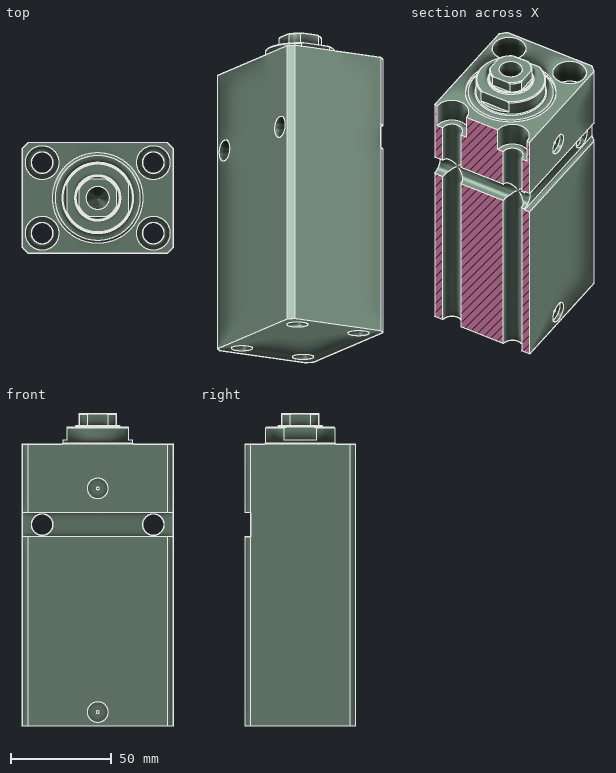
import cadquery as cq
import math

width = 75.0
depth = 55.0
height = 139.9
edge_chamfer = 3.0
front_y = -depth / 2

bolt_dia = 10.5
bolt_head_dia = 16.7
bolt_head_depth = 13.0
bolt_x = 27.5
bolt_y = 17.5

slot_height = 12.0
slot_depth = 3.0
slot_z = height - 40.0

port_dia = 10.2
port_depth = 2.0
oil_hole_dia = 1.4
oil_hole_depth = 7.7
upper_port_z = height - 22.0
lower_port_z = 7.0

plug_dia = 44.9
plug_length = 15.5
plug_chamfer = 1.4
plug_bottom_z = height - plug_length
collar_dia = 34.5
collar_top_z = height + 8.4
collar_chamfer = 0.5
collar_root_chamfer = 0.5
collar_flats = 30.5
collar_flat_z = height + 2.0
wiper_lip = 0.5

rod_top_z = 154.9
rod_bottom_z = 15.5
shaft_dia = 22.0
shoulder_z = collar_top_z + 1.0
shoulder_chamfer = 0.3
nose_dia = 21.2
nose_chamfer = 0.5
nose_flats = 18.6
rod_hole_dia = 11.5
rod_hole_depth = 18.6
drill_tip_angle = 118.0


def cylinder(diameter, bottom_z, top_z):
    """Round bar on the Z axis between two heights."""
    return cq.Workplane("XY", origin=(0, 0, bottom_z)).circle(diameter / 2).extrude(top_z - bottom_z)


def cone(bottom_dia, top_dia, bottom_z, top_z):
    """Round taper on the Z axis between two heights."""
    solid = cq.Solid.makeCone(bottom_dia / 2, top_dia / 2, top_z - bottom_z, cq.Vector(0, 0, bottom_z))
    return cq.Workplane(solid)


def slab(x_size, y_size, bottom_z, top_z):
    """Rectangular block on the Z axis between two heights."""
    return cq.Workplane("XY", origin=(0, 0, bottom_z)).rect(x_size, y_size).extrude(top_z - bottom_z)


def front_hole(diameter, x, z, hole_depth):
    """Tool for a round hole that enters the front face and runs along +Y."""
    return cq.Workplane("XZ", origin=(x, front_y, z)).circle(diameter / 2).extrude(-hole_depth)


def make_housing():
    """Block with bolt holes, key slot, ports, gland seat and rod bore."""
    housing = slab(width, depth, 0, height).edges("|Z").chamfer(edge_chamfer)

    bolt_points = [(x, y) for x in (-bolt_x, bolt_x) for y in (-bolt_y, bolt_y)]
    bolt_centres = cq.Workplane("XY", origin=(0, 0, height)).pushPoints(bolt_points)
    housing = housing.cut(bolt_centres.circle(bolt_dia / 2).extrude(-height))
    housing = housing.cut(bolt_centres.circle(bolt_head_dia / 2).extrude(-bolt_head_depth))

    slot = cq.Workplane("XY", origin=(0, front_y, slot_z)).box(width, 2 * slot_depth, slot_height)
    housing = housing.cut(slot)
    for x in (-bolt_x, bolt_x):
        housing = housing.cut(front_hole(bolt_dia, x, slot_z, depth))

    housing = housing.cut(cylinder(plug_dia, plug_bottom_z, height))
    housing = housing.cut(cylinder(shaft_dia, rod_bottom_z, height))

    for z in (upper_port_z, lower_port_z):
        housing = housing.cut(front_hole(port_dia, 0, z, port_depth))
        housing = housing.cut(front_hole(oil_hole_dia, 0, z, oil_hole_depth))
    return housing


def make_gland():
    """Plug whose top chamfer leaves a V groove to the housing, plus the collar and wiper lip above it."""
    plug = cylinder(plug_dia, plug_bottom_z, height).faces(">Z").edges().chamfer(plug_chamfer)
    root_dia = collar_dia + 2 * collar_root_chamfer
    root = cone(root_dia, collar_dia, height, height + collar_root_chamfer)
    collar_base = cylinder(collar_dia, height, collar_flat_z)
    collar_head = cylinder(collar_dia, collar_flat_z, collar_top_z).faces(">Z").edges().chamfer(collar_chamfer)
    collar_head = collar_head.intersect(slab(collar_flats, collar_dia, collar_flat_z, collar_top_z))
    lip_dia = shaft_dia + 2 * wiper_lip
    lip = cone(lip_dia, shaft_dia, collar_top_z, collar_top_z + wiper_lip)
    gland = plug.union(root).union(collar_base).union(collar_head).union(lip)
    return gland.cut(cylinder(shaft_dia, plug_bottom_z, collar_top_z + wiper_lip))


def make_rod():
    """Shaft with a chamfered shoulder, four-flat nose and drilled hole in its end."""
    shaft = cylinder(shaft_dia, rod_bottom_z, shoulder_z).faces(">Z").edges().chamfer(shoulder_chamfer)
    nose = cylinder(nose_dia, shoulder_z, rod_top_z).faces(">Z").edges().chamfer(nose_chamfer)
    nose = nose.intersect(slab(nose_flats, nose_flats, shoulder_z, rod_top_z))
    hole_floor_z = rod_top_z - rod_hole_depth
    tip_length = rod_hole_dia / 2 / math.tan(math.radians(drill_tip_angle / 2))
    hole = cylinder(rod_hole_dia, hole_floor_z, rod_top_z)
    tip = cone(0, rod_hole_dia, hole_floor_z - tip_length, hole_floor_z)
    return shaft.union(nose).cut(hole).cut(tip)


housing = make_housing()
gland = make_gland()
rod = make_rod()
result = cq.Compound.makeCompound([housing.solids().val(), gland.solids().val(), rod.solids().val()])